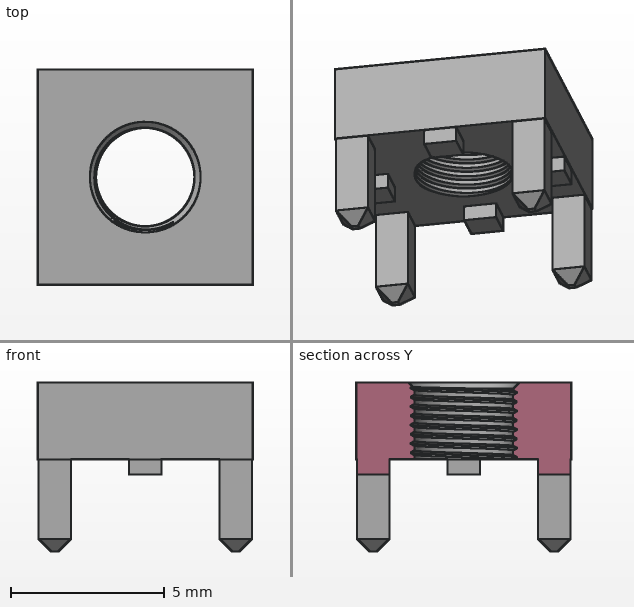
import cadquery as cq
import math

BODY_SIDE = 7.0
BODY_HEIGHT = 2.5

PIN_SIDE = 1.065
PIN_INSET = 0.03
LEG_LENGTH = 3.0
LEG_TIP_CHAMFER = 0.42
STANDOFF_LENGTH = 0.5
PIN_OFFSET = BODY_SIDE / 2 - PIN_INSET - PIN_SIDE / 2

BORE_RADIUS = 1.595
COUNTERSINK = 0.2
THREAD_PITCH = 0.3
THREAD_DEPTH = 0.125
THREAD_ANGLE = 60.0
THREAD_START_ANGLE = -75.0
PROFILE_OVERLAP = 0.015


def make_body():
    return cq.Workplane("XY").rect(BODY_SIDE, BODY_SIDE).extrude(BODY_HEIGHT)


def make_bore():
    return cq.Workplane("XY").circle(BORE_RADIUS).extrude(BODY_HEIGHT)


def make_countersink():
    """45-degree cone opening from the bore to the top face."""
    return (
        cq.Workplane("XY")
        .workplane(offset=BODY_HEIGHT - COUNTERSINK)
        .circle(BORE_RADIUS)
        .workplane(offset=COUNTERSINK)
        .circle(BORE_RADIUS + COUNTERSINK)
        .loft()
    )


def make_thread_cutter():
    """Helical V-shaped cutter running past both faces of the body."""
    inner = BORE_RADIUS - PROFILE_OVERLAP
    outer = BORE_RADIUS + THREAD_DEPTH
    half_width = (outer - inner) * math.tan(math.radians(THREAD_ANGLE / 2))
    height = BODY_HEIGHT + 2 * THREAD_PITCH
    path = cq.Wire.makeHelix(THREAD_PITCH, height, BORE_RADIUS)
    profile = cq.Workplane("XZ").polyline(
        [(inner, -half_width), (outer, 0), (inner, half_width)]
    ).close()
    cutter = profile.sweep(cq.Workplane(path), isFrenet=True)
    cutter = cutter.translate((0, 0, -THREAD_PITCH))
    return cutter.rotate((0, 0, 0), (0, 0, 1), THREAD_START_ANGLE)


def make_pins(positions, length):
    return cq.Workplane("XY").pushPoints(positions).rect(PIN_SIDE, PIN_SIDE).extrude(-length)


def make_legs():
    corners = [(x, y) for x in (-PIN_OFFSET, PIN_OFFSET) for y in (-PIN_OFFSET, PIN_OFFSET)]
    return make_pins(corners, LEG_LENGTH).faces("<Z").chamfer(LEG_TIP_CHAMFER)


def make_standoffs():
    side_middles = [(PIN_OFFSET, 0), (-PIN_OFFSET, 0), (0, PIN_OFFSET), (0, -PIN_OFFSET)]
    return make_pins(side_middles, STANDOFF_LENGTH)


nut = make_body().cut(make_thread_cutter()).cut(make_bore()).cut(make_countersink())
result = nut.union(make_legs()).union(make_standoffs())